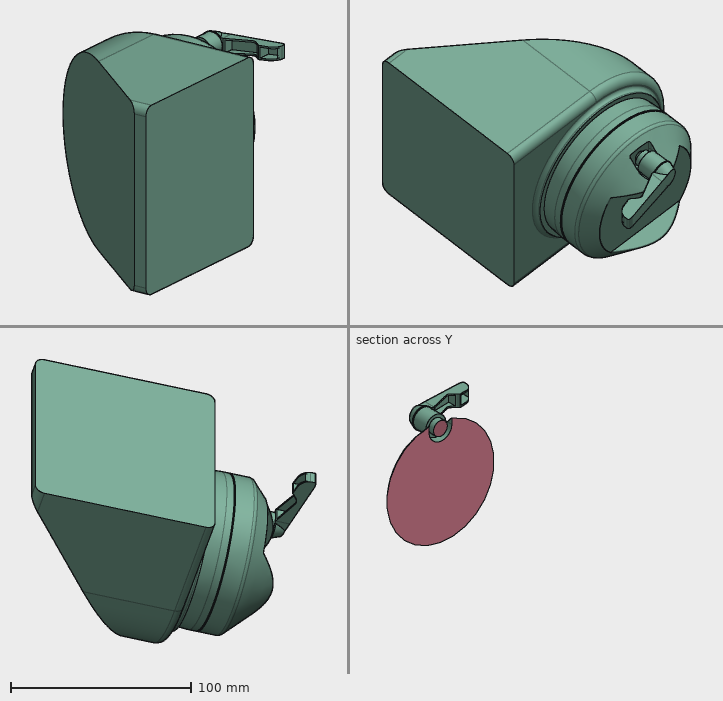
import cadquery as cq
import math

TOTAL_LENGTH = 169

ARC_45 = math.sqrt(0.5)

BASE_LENGTH_X = 120.5
BASE_WIDTH = 112.0
BASE_RADIUS = BASE_WIDTH / 2
BASE_SIDE_X = BASE_LENGTH_X - BASE_RADIUS
BASE_DEPTH = 103.5
BASE_EDGE_FILLET = 5.2
SLANT_START_DEPTH = 13.0
SLANT_FLAT_WIDTH = 8.0

COLLAR_RADIUS = 47.6
COLLAR_HEIGHT = 3.5
COLLAR_FILLET = 2.5
DRUM_FOOT_RADIUS = 44.5
DRUM_RADIUS = 45.0
DRUM_TAPER_TOP = 12.3
GROOVE_Y = 17.0
GROOVE_WIDTH = 0.7
GROOVE_DEPTH = 0.5
CONE_APEX_Y = 74.3
CONE_EDGE_FILLET = 3.0
SLOT_HALF_WIDTH = 23.1
SLOT_FLOOR_Y = 38.5
SLOT_EDGE_FILLET = 0.3
SELECTION_MARGIN = 0.2

LEVER_Z = 33.5
POCKET_RADIUS = 8.0
POCKET_FLOOR_Y = 34.0
POCKET_FILLET = 1.0
STUD_RADIUS = 3.2
STUD_TOP_Y = 36.0
NECK_RADIUS = 5.0
HUB_BOTTOM_Y = 40.0
HUB_RADIUS = 7.1
HUB_TOP_Y = 51.0
CAP_RADIUS = 7.5
CAP_LIP_HEIGHT = 0.7
CAP_TOP_RADIUS = 4.9
CAP_TOP_Y = 58.6

ARM_TIP_X = 39.9
ARM_TOP_Y = TOTAL_LENGTH - BASE_DEPTH
ARM_TOP_END_X = 37.0
ARM_SLOPE = 0.21
TIP_CORNER_START = (38.7, ARM_TOP_Y)
TIP_CORNER_MID = (39.5, 65.0)
TIP_CORNER_END = (ARM_TIP_X, 64.0)
TIP_BELLY_START = (ARM_TIP_X, 62.0)
TIP_BELLY_MID = (38.0, 58.3)
TIP_BELLY_END = (34.6, 56.1)
FINGER_STOP_BOTTOM_X = 29.0
FINGER_STOP_BOTTOM = (FINGER_STOP_BOTTOM_X, 54.7)
FINGER_STOP_CORNER = (28.2, 55.4)
FINGER_HOLLOW_START = (25.3, 57.8)
FINGER_HOLLOW_MID = (23.7, 58.5)
FINGER_HOLLOW_END = (21.5, 58.0)

ARM_ROOT_WIDTH = 9.8
ARM_TIP_WIDTH = 8.0
ARM_TAPER_START_X = 7.5
ARM_WALL = 1.0
ARM_RIB_START_X = 27.0


def revolve_about_y(outline, z=0):
    """Turn an outline drawn in the ZY plane about the Y axis, then move it to the given Z."""
    return outline.close().revolve(360, (0, 0, 0), (0, 1, 0)).translate((0, 0, z))


def make_base():
    """D-shaped prism along Y, its far end cut off by the slanted face."""
    base = (
        cq.Workplane("XZ")
        .moveTo(BASE_SIDE_X, -BASE_RADIUS)
        .lineTo(0, -BASE_RADIUS)
        .threePointArc((-BASE_RADIUS, 0), (0, BASE_RADIUS))
        .lineTo(BASE_SIDE_X, BASE_RADIUS)
        .close()
        .extrude(BASE_DEPTH)
    )
    base = base.faces(">Y").edges("not >X").fillet(BASE_EDGE_FILLET)
    base = base.faces("<Y").edges("|X").fillet(BASE_EDGE_FILLET)
    slant_cut = (
        cq.Workplane("XY")
        .moveTo(-BASE_RADIUS, -SLANT_START_DEPTH)
        .lineTo(BASE_SIDE_X - SLANT_FLAT_WIDTH, -BASE_DEPTH)
        .lineTo(-BASE_RADIUS, -BASE_DEPTH)
        .close()
        .extrude(BASE_RADIUS, both=True)
    )
    return base.cut(slant_cut)


def make_drum():
    """Collar, grooved drum and 45 degree cone in one turning, slotted through along X."""
    groove_floor = DRUM_RADIUS - GROOVE_DEPTH
    groove_bottom = GROOVE_Y - GROOVE_WIDTH / 2
    groove_top = GROOVE_Y + GROOVE_WIDTH / 2
    mid_angle = math.pi / 8
    fillet_start = CONE_APEX_Y - DRUM_RADIUS - CONE_EDGE_FILLET * math.tan(mid_angle)
    fillet_centre = DRUM_RADIUS - CONE_EDGE_FILLET
    fillet_mid = (
        fillet_centre + CONE_EDGE_FILLET * math.cos(mid_angle),
        fillet_start + CONE_EDGE_FILLET * math.sin(mid_angle),
    )
    fillet_end = (fillet_centre + CONE_EDGE_FILLET * ARC_45, fillet_start + CONE_EDGE_FILLET * ARC_45)
    foot_radius = COLLAR_RADIUS + COLLAR_FILLET
    foot_mid = (foot_radius - COLLAR_FILLET * ARC_45, COLLAR_FILLET * (1 - ARC_45))
    outline = (
        cq.Workplane("ZY")
        .moveTo(0, -BASE_EDGE_FILLET)
        .lineTo(DRUM_FOOT_RADIUS, -BASE_EDGE_FILLET)
        .lineTo(DRUM_FOOT_RADIUS, 0)
        .lineTo(foot_radius, 0)
        .threePointArc(foot_mid, (COLLAR_RADIUS, COLLAR_FILLET))
        .lineTo(COLLAR_RADIUS, COLLAR_HEIGHT)
        .lineTo(DRUM_FOOT_RADIUS, COLLAR_HEIGHT)
        .lineTo(DRUM_RADIUS, DRUM_TAPER_TOP)
        .lineTo(DRUM_RADIUS, groove_bottom)
        .lineTo(groove_floor, groove_bottom)
        .lineTo(groove_floor, groove_top)
        .lineTo(DRUM_RADIUS, groove_top)
        .lineTo(DRUM_RADIUS, fillet_start)
        .threePointArc(fillet_mid, fillet_end)
        .lineTo(0, CONE_APEX_Y)
    )
    slot_height = CONE_APEX_Y - SLOT_FLOOR_Y
    slot = cq.Workplane("XY").box(2 * DRUM_RADIUS, slot_height, 2 * SLOT_HALF_WIDTH)
    slot = slot.translate((0, SLOT_FLOOR_Y + slot_height / 2, 0))
    drum = revolve_about_y(outline).cut(slot)
    slot_region = cq.selectors.BoxSelector(
        (-DRUM_RADIUS, SLOT_FLOOR_Y - SELECTION_MARGIN, -SLOT_HALF_WIDTH - SELECTION_MARGIN),
        (DRUM_RADIUS, CONE_APEX_Y, SLOT_HALF_WIDTH + SELECTION_MARGIN),
    )
    return drum.edges(slot_region).edges("not |X").fillet(SLOT_EDGE_FILLET)


def make_lever_pocket():
    """Round-backed pocket around the hub, open towards +Z."""
    return (
        cq.Workplane("XZ", origin=(0, POCKET_FLOOR_Y, 0))
        .moveTo(POCKET_RADIUS, DRUM_RADIUS)
        .lineTo(POCKET_RADIUS, LEVER_Z)
        .threePointArc((0, LEVER_Z - POCKET_RADIUS), (-POCKET_RADIUS, LEVER_Z))
        .lineTo(-POCKET_RADIUS, DRUM_RADIUS)
        .close()
        .extrude(POCKET_FLOOR_Y - CONE_APEX_Y)
        .faces("<Y")
        .edges("not >Z")
        .fillet(POCKET_FILLET)
    )


def arm_top_y(x):
    """Y of the sloping top face of the arm, which also cuts off the hub cap."""
    return ARM_TOP_Y - ARM_SLOPE * (ARM_TOP_END_X - x)


def make_hub():
    """Stud, neck, hub and conical cap, with the cap cut off along the slope of the arm."""
    outline = (
        cq.Workplane("ZY")
        .moveTo(0, POCKET_FLOOR_Y)
        .lineTo(STUD_RADIUS, POCKET_FLOOR_Y)
        .lineTo(STUD_RADIUS, STUD_TOP_Y)
        .lineTo(NECK_RADIUS, STUD_TOP_Y)
        .lineTo(NECK_RADIUS, HUB_BOTTOM_Y)
        .lineTo(HUB_RADIUS, HUB_BOTTOM_Y)
        .lineTo(HUB_RADIUS, HUB_TOP_Y)
        .lineTo(CAP_RADIUS, HUB_TOP_Y)
        .lineTo(CAP_RADIUS, HUB_TOP_Y + CAP_LIP_HEIGHT)
        .lineTo(CAP_TOP_RADIUS, CAP_TOP_Y)
        .lineTo(0, CAP_TOP_Y)
    )
    top_trim = (
        cq.Workplane("XY")
        .moveTo(-CAP_RADIUS, arm_top_y(-CAP_RADIUS))
        .lineTo(CAP_RADIUS, arm_top_y(CAP_RADIUS))
        .lineTo(-CAP_RADIUS, arm_top_y(CAP_RADIUS))
        .close()
        .extrude(CAP_RADIUS, both=True)
        .translate((0, 0, LEVER_Z))
    )
    return revolve_about_y(outline, LEVER_Z).cut(top_trim)


def make_arm():
    """Arm with the side outline of a handle, tapering in width towards its tip."""
    side_profile = (
        cq.Workplane("XY")
        .moveTo(0, HUB_TOP_Y)
        .lineTo(0, arm_top_y(0))
        .lineTo(ARM_TOP_END_X, ARM_TOP_Y)
        .lineTo(*TIP_CORNER_START)
        .threePointArc(TIP_CORNER_MID, TIP_CORNER_END)
        .lineTo(*TIP_BELLY_START)
        .threePointArc(TIP_BELLY_MID, TIP_BELLY_END)
        .lineTo(*FINGER_STOP_BOTTOM)
        .lineTo(*FINGER_STOP_CORNER)
        .lineTo(*FINGER_HOLLOW_START)
        .threePointArc(FINGER_HOLLOW_MID, FINGER_HOLLOW_END)
        .lineTo(ARM_TAPER_START_X, HUB_TOP_Y)
        .close()
        .extrude(ARM_ROOT_WIDTH, both=True)
        .translate((0, 0, LEVER_Z))
    )
    return side_profile.intersect(arm_plan(0)).cut(make_arm_cavities())


def arm_plan(wall):
    """Tapering bar as deep as the arm, narrowed on both sides by the wall."""
    root = ARM_ROOT_WIDTH / 2 - wall
    tip = ARM_TIP_WIDTH / 2 - wall
    return (
        cq.Workplane("XZ", origin=(0, ARM_TOP_Y, LEVER_Z))
        .moveTo(0, root)
        .lineTo(ARM_TAPER_START_X, root)
        .lineTo(ARM_TIP_X, tip)
        .lineTo(ARM_TIP_X, -tip)
        .lineTo(ARM_TAPER_START_X, -root)
        .lineTo(0, -root)
        .close()
        .extrude(ARM_TOP_Y - HUB_TOP_Y)
    )


def make_arm_cavities():
    """Two hollows open on the underside, parted by a cross rib."""
    rib_end_x = FINGER_STOP_BOTTOM_X + ARM_WALL
    spans = [(ARM_TAPER_START_X + ARM_WALL, ARM_RIB_START_X), (rib_end_x, ARM_TIP_X - ARM_WALL)]
    cavities = cq.Workplane("XY")
    for start_x, end_x in spans:
        cavity = (
            cq.Workplane("XY")
            .moveTo(start_x, HUB_TOP_Y)
            .lineTo(end_x, HUB_TOP_Y)
            .lineTo(end_x, min(arm_top_y(end_x), ARM_TOP_Y) - ARM_WALL)
            .lineTo(start_x, arm_top_y(start_x) - ARM_WALL)
            .close()
            .extrude(ARM_ROOT_WIDTH, both=True)
            .translate((0, 0, LEVER_Z))
        )
        cavities = cavities.add(cavity.intersect(arm_plan(ARM_WALL)))
    return cavities.combine()


housing = make_base().union(make_drum()).cut(make_lever_pocket())
clamp_lever = make_hub().union(make_arm())

result = cq.Compound.makeCompound([housing.val(), clamp_lever.val()])